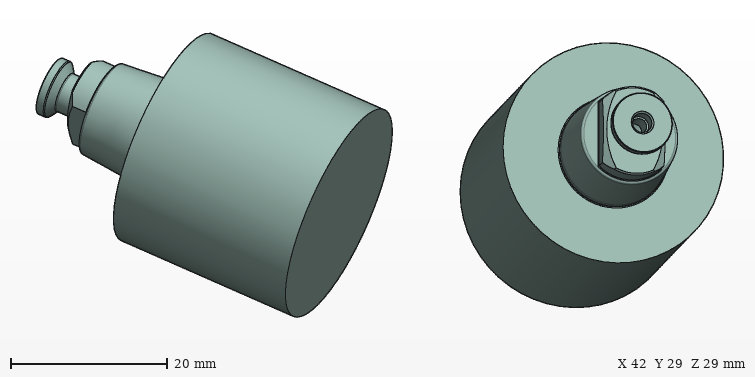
import cadquery as cq
import math

total_length = 42.0

housing_diameter = 29.0
housing_face_x = 16.95
socket_depth = 2.0

head_diameter = 7.85
head_face_diameter = 7.7
head_rim_end_x = 1.1
head_rear_edge_length = 0.15
neck_diameter = 5.3
neck_start_x = 2.23
neck_start_flare = 0.1
neck_root_diameter = 5.5
neck_root_length = 0.13
nut_start_x = 4.5
nut_diameter = 11.68
nut_edge_chamfer = 0.2
nut_flat_width = 8.1
nut_root_flare = 0.13

collar_start_x = 7.48
collar_front_diameter = 12.7
collar_edge_radius = 0.35
taper_end_x = 16.05
collar_diameter = 14.2
collar_foot_diameter = 14.55
collar_foot_length = 0.13

relief_radius = 10.9
relief_face_offset = 3.7
relief_slope_angle = 40.0
relief_depth = 2.5

bore_chamfer_diameter = 3.0
bore_entry_diameter = 2.5
bore_entry_depth = 2.1
bore_diameter = 2.0
bore_depth = 5.05
drill_tip_angle = 120.0


def cylinder_along_x(diameter, start_x, end_x):
    return cq.Workplane("YZ", origin=(start_x, 0, 0)).circle(diameter / 2).extrude(end_x - start_x)


def revolve_about_x(profile):
    return profile.close().revolve(360, (0, 0, 0), (1, 0, 0))


def make_housing():
    body = cylinder_along_x(housing_diameter, housing_face_x, total_length)
    socket = cylinder_along_x(collar_diameter, housing_face_x, housing_face_x + socket_depth)
    return body.cut(socket)


def make_head_and_neck():
    rim_chamfer = (head_diameter - head_face_diameter) / 2
    return revolve_about_x(
        cq.Workplane("XY")
        .moveTo(0, 0)
        .lineTo(0, head_face_diameter / 2)
        .lineTo(rim_chamfer, head_diameter / 2)
        .lineTo(head_rim_end_x, head_diameter / 2)
        .lineTo(head_rim_end_x + head_rear_edge_length, head_diameter / 2 - rim_chamfer)
        .lineTo(neck_start_x - neck_start_flare, neck_diameter / 2 + neck_start_flare / 2)
        .lineTo(neck_start_x + neck_start_flare, neck_diameter / 2)
        .lineTo(nut_start_x - neck_root_length, neck_diameter / 2)
        .lineTo(nut_start_x, neck_root_diameter / 2)
        .lineTo(nut_start_x, 0)
    )


def make_relief_keeper(side):
    """Cone, off-centre in Y, that leaves the sloped relief beside one flat."""
    front_center_y = side * (relief_face_offset - relief_radius)
    back_radius = relief_radius + relief_depth / math.tan(math.radians(relief_slope_angle))
    cone = cq.Solid.makeCone(
        relief_radius,
        back_radius,
        relief_depth,
        pnt=cq.Vector(nut_start_x, front_center_y, 0),
        dir=cq.Vector(1, 0, 0),
    )
    rest = cylinder_along_x(2 * nut_diameter, nut_start_x + relief_depth, collar_start_x)
    return rest.union(cq.Workplane(cone))


def make_flared_outline(half_width):
    """Open outline of one side of the nut, from its front to its flared root at the collar."""
    return (
        cq.Workplane("XY")
        .moveTo(nut_start_x, half_width)
        .lineTo(collar_start_x - nut_root_flare, half_width)
        .lineTo(collar_start_x, half_width + nut_root_flare)
    )


def make_nut():
    barrel = revolve_about_x(
        make_flared_outline(nut_diameter / 2).lineTo(collar_start_x, 0).lineTo(nut_start_x, 0)
    )
    nut = barrel.faces("<X").chamfer(nut_edge_chamfer)
    half_width = nut_flat_width / 2
    flats = (
        make_flared_outline(half_width)
        .lineTo(collar_start_x, -half_width - nut_root_flare)
        .lineTo(collar_start_x - nut_root_flare, -half_width)
        .lineTo(nut_start_x, -half_width)
        .close()
        .extrude(nut_diameter, both=True)
    )
    nut = nut.intersect(flats)
    for side in (-1, 1):
        nut = nut.intersect(make_relief_keeper(side))
    return nut


def make_collar():
    taper = revolve_about_x(
        cq.Workplane("XY")
        .moveTo(collar_start_x, 0)
        .lineTo(collar_start_x, collar_front_diameter / 2)
        .lineTo(taper_end_x, collar_diameter / 2)
        .lineTo(housing_face_x - collar_foot_length, collar_diameter / 2)
        .lineTo(housing_face_x, collar_foot_diameter / 2)
        .lineTo(housing_face_x, collar_diameter / 2)
        .lineTo(housing_face_x + socket_depth, collar_diameter / 2)
        .lineTo(housing_face_x + socket_depth, 0)
    )
    return taper.faces("<X").edges().fillet(collar_edge_radius)


def make_bore():
    chamfer_depth = (bore_chamfer_diameter - bore_entry_diameter) / 2
    tip_length = bore_diameter / 2 / math.tan(math.radians(drill_tip_angle / 2))
    return revolve_about_x(
        cq.Workplane("XY")
        .moveTo(0, 0)
        .lineTo(0, bore_chamfer_diameter / 2)
        .lineTo(chamfer_depth, bore_entry_diameter / 2)
        .lineTo(bore_entry_depth, bore_entry_diameter / 2)
        .lineTo(bore_entry_depth, bore_diameter / 2)
        .lineTo(bore_depth, bore_diameter / 2)
        .lineTo(bore_depth + tip_length, 0)
    )


def make_stem():
    return make_head_and_neck().union(make_nut()).union(make_collar()).cut(make_bore())


housing = make_housing()
stem = make_stem()

result = cq.Compound.makeCompound([housing.val(), *stem.vals()])